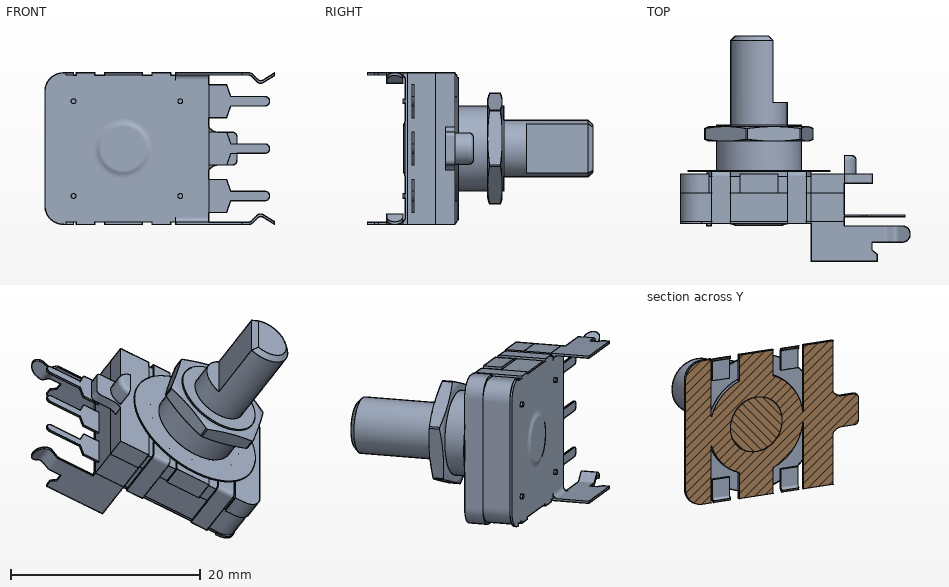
import cadquery as cq
import math


left_x = -8.3
right_x = 9.02
half_height = 8.0
corner_radius = 2.0
sheet = 0.25
inset_half_height = half_height - sheet
raised_end_x = 5.5

parting_y = -2.04
rear_y = -5.02
cover_y = rear_y - sheet

left_end_x = -5.26
pad_half_width = 2.0
recess_y = -0.27
boss_diameter = 11.0
boss_end_y = 0.22
bushing_diameter = 9.0
bushing_end_y = 5.15

lug_half_width = 1.75
lug_end_x = 11.98
lug_thickness = 1.02
lug_corner_radius = 0.5
lug_root_run = 0.97
lug_root_flare = 0.53
post_diameter = 3.5
post_tip_x = 10.25
post_height = 1.95
post_edge_radius = 0.5

pin_diameter = 0.5
pin_length = 0.25
pin_left_x = -5.26
pin_right_x = 6.0
pin_z = 5.0

tab_near_x = 3.0
tab_far_x = 5.0
tab_fold_z = 5.5
tab_bend_radius = 0.25
cover_corner_end_x = -6.05
emboss_outer_diameter = 6.25
emboss_line_diameter = 5.21
emboss_top_diameter = 4.68
emboss_height = 0.2
leg_root_radius = 0.5
leg_end_y = -9.25
leg_end_x = 12.5
leg_notch_x = 11.93
leg_notch_y = -8.05
leg_chamfer_y = -8.49
spring_top_y = -5.48
spring_width = 1.75
spring_bend_x = 13.45
spring_tip_x = left_x + 24.25
spring_fall_angle = 45.0
spring_rise_angle = 32.0
spring_bend_radius = 0.5

shaft_diameter = 6.0
shaft_end_y = 14.55
shaft_chamfer = 0.5
flat_start_y = 7.52
flat_x = 1.5

washer_diameter = 15.0
washer_thickness = 0.15
nut_start_y = 3.45
nut_thickness = 1.53
nut_flats = 10.43
nut_corner_diameter = 11.93
nut_chamfer_height = 0.2
nut_flat_angle = 12.4

terminal_pitch = 5.0
terminal_thickness = 0.2
terminal_y = -4.44
terminal_half_width = 1.75
terminal_shoulder_x = 10.9
terminal_neck_x = 11.32
terminal_prong_radius = 0.5
terminal_tip_x = 15.42


def plane_at(y):
    """Workplane at depth y with local axes X and Z; it extrudes toward -Y."""
    return cq.Workplane("XZ", origin=(0, y, 0))


def block(x_start, x_end, z_half, y_front, y_back):
    """Box centered on Z = 0 between two X and two Y positions."""
    corner = cq.Workplane("XY", origin=(x_start, y_back, 0))
    return corner.box(x_end - x_start, y_front - y_back, 2 * z_half, centered=(False, False, True))


def cylinder(diameter, y_start, y_end):
    """Cylinder about the shaft axis."""
    return plane_at(y_end).circle(diameter / 2).extrude(y_end - y_start)


def make_lug():
    """Flat lug with flared root and rounded corners."""
    root_z = lug_half_width + lug_root_flare
    root_radius = (lug_root_run ** 2 + lug_root_flare ** 2) / (2 * lug_root_flare)
    tangent_x = right_x + lug_root_run
    lug = (
        plane_at(0)
        .moveTo(right_x, -root_z)
        .radiusArc((tangent_x, -lug_half_width), root_radius)
        .lineTo(lug_end_x, -lug_half_width)
        .lineTo(lug_end_x, lug_half_width)
        .lineTo(tangent_x, lug_half_width)
        .radiusArc((right_x, root_z), root_radius)
        .close()
        .extrude(lug_thickness)
    )
    return lug.edges("|Y and >X").fillet(lug_corner_radius)


def make_post():
    """Round post on the lug, cut flat in line with the housing side."""
    post = (
        plane_at(post_height)
        .center(post_tip_x - post_diameter / 2, 0)
        .circle(post_diameter / 2)
        .extrude(post_height)
        .faces(">Y").edges().fillet(post_edge_radius)
    )
    return post.intersect(block(right_x, lug_end_x, post_diameter, post_height, 0))


def make_front_block():
    left_end = block(left_x, left_end_x, half_height, 0, parting_y).edges("|Y and <X").fillet(corner_radius)
    middle = block(left_end_x, raised_end_x, inset_half_height, recess_y, parting_y)
    pad = block(-pad_half_width, pad_half_width, half_height, 0, parting_y)
    right_end = block(raised_end_x, right_x, half_height, 0, parting_y)
    body = left_end.union(middle).union(pad).union(right_end)
    body = body.union(cylinder(boss_diameter, parting_y, boss_end_y))
    body = body.union(cylinder(bushing_diameter, parting_y, bushing_end_y))
    body = body.union(make_lug()).union(make_post())
    return body.cut(cylinder(shaft_diameter, parting_y, bushing_end_y))


def make_pins():
    pin_places = [(x, z) for x in (pin_left_x, pin_right_x) for z in (-pin_z, pin_z)]
    return plane_at(rear_y).pushPoints(pin_places).circle(pin_diameter / 2).extrude(sheet + pin_length)


def make_rear_block():
    body = block(left_x, raised_end_x, inset_half_height, parting_y, rear_y)
    body = body.edges("|Y and <X").fillet(corner_radius)
    return body.union(block(raised_end_x, right_x, half_height, parting_y, rear_y)).union(make_pins())


def make_cover_plate():
    corners = block(left_x, cover_corner_end_x, half_height, rear_y, cover_y)
    corners = corners.edges("|Y and <X").fillet(corner_radius)
    return corners.union(block(cover_corner_end_x, right_x, inset_half_height, rear_y, cover_y))


def make_emboss():
    """Shallow raised disc: a concave foot runs into a convex rim."""
    foot_r = emboss_outer_diameter / 2
    line_r = emboss_line_diameter / 2
    top_r = emboss_top_diameter / 2
    foot_width = foot_r - line_r
    line_height = emboss_height * foot_width / (foot_r - top_r)
    foot_radius = (foot_width ** 2 + line_height ** 2) / (2 * line_height)
    rim_radius = foot_radius * (line_r - top_r) / foot_width
    top_y = cover_y - emboss_height
    return (
        cq.Workplane("XY")
        .moveTo(0, cover_y)
        .lineTo(foot_r, cover_y)
        .radiusArc((line_r, cover_y - line_height), -foot_radius)
        .radiusArc((top_r, top_y), rim_radius)
        .lineTo(0, top_y)
        .close()
        .revolve(360, (0, 0, 0), (0, 1, 0))
    )


def make_tab(x_start):
    """Strip along the housing side, folded over behind the washer, level with the boss."""
    inner_y = boss_end_y - sheet
    bend_start_y = inner_y - tab_bend_radius
    bend_end_z = inset_half_height - tab_bend_radius
    return (
        cq.Workplane("YZ", origin=(x_start, 0, 0))
        .moveTo(cover_y, inset_half_height)
        .lineTo(bend_start_y, inset_half_height)
        .radiusArc((inner_y, bend_end_z), tab_bend_radius)
        .lineTo(inner_y, tab_fold_z)
        .lineTo(boss_end_y, tab_fold_z)
        .lineTo(boss_end_y, bend_end_z)
        .radiusArc((bend_start_y, half_height), -(tab_bend_radius + sheet))
        .lineTo(cover_y, half_height)
        .close()
        .extrude(tab_far_x - tab_near_x)
    )


def make_spring():
    """Finger bent into a shallow V, with a rounded tip."""
    fall = math.radians(spring_fall_angle)
    rise = math.radians(spring_rise_angle)
    span = spring_tip_x - spring_bend_x
    depth = span / (1 / math.tan(fall) + 1 / math.tan(rise))
    valley_x = spring_bend_x + depth / math.tan(fall)
    valley_z = half_height - depth

    def below(x, z, angle_before, angle_after):
        """Corner of the underside, one sheet thickness from the top corner at (x, z)."""
        middle = (angle_before + angle_after) / 2
        reach = sheet / math.cos((angle_before - angle_after) / 2)
        return x + reach * math.sin(middle), z - reach * math.cos(middle)

    bend_under = below(spring_bend_x, half_height, 0, -fall)
    valley_under = below(valley_x, valley_z, -fall, rise)
    tip_under = below(spring_tip_x, half_height, rise, rise)
    strip = (
        plane_at(spring_top_y)
        .polyline([
            (leg_notch_x, half_height), (spring_bend_x, half_height), (valley_x, valley_z),
            (spring_tip_x, half_height), tip_under, valley_under, bend_under,
            (leg_notch_x, inset_half_height),
        ])
        .close()
        .extrude(spring_width)
    )
    middle_y = spring_top_y - spring_width / 2
    bends = [(spring_bend_x, half_height), bend_under, (valley_x, valley_z), valley_under]
    for x, z in bends:
        bend_edge = cq.NearestToPointSelector((x, middle_y, z))
        strip = strip.edges("|Y").edges(bend_edge).fillet(spring_bend_radius)
    tip_radius = spring_width / 2
    plan = (
        cq.Workplane("XY")
        .moveTo(leg_notch_x, spring_top_y)
        .lineTo(spring_tip_x - tip_radius, spring_top_y)
        .threePointArc((spring_tip_x, middle_y), (spring_tip_x - tip_radius, spring_top_y - spring_width))
        .lineTo(leg_notch_x, spring_top_y - spring_width)
        .close()
        .extrude(half_height)
    )
    return strip.intersect(plan)


def make_leg():
    """Upper mounting leg with its bend into the cover plate and its spring finger."""
    blade = (
        cq.Workplane("XY", origin=(0, 0, inset_half_height))
        .polyline([
            (raised_end_x, rear_y), (right_x, rear_y), (right_x, spring_top_y), (leg_notch_x, spring_top_y),
            (leg_notch_x, leg_notch_y), (leg_end_x, leg_chamfer_y), (leg_end_x, leg_end_y),
            (raised_end_x, leg_end_y),
        ])
        .close()
        .extrude(sheet)
    )
    bend = (
        cq.Workplane("YZ", origin=(raised_end_x, 0, 0))
        .moveTo(cover_y, inset_half_height)
        .lineTo(cover_y, inset_half_height - leg_root_radius)
        .radiusArc((cover_y - leg_root_radius, inset_half_height), -leg_root_radius)
        .close()
        .extrude(right_x - raised_end_x)
    )
    return blade.union(bend).union(make_spring())


def make_cover():
    upper_parts = make_tab(tab_near_x).union(make_tab(-tab_far_x)).union(make_leg())
    body = make_cover_plate().union(make_emboss())
    body = body.union(upper_parts).union(upper_parts.mirror("XY"))
    return body.cut(make_pins())


def make_shaft():
    body = cylinder(shaft_diameter, parting_y, shaft_end_y)
    body = body.cut(block(flat_x, shaft_diameter, shaft_diameter, shaft_end_y, flat_start_y))
    return body.faces(">Y").chamfer(shaft_chamfer)


def make_washer():
    end_y = boss_end_y + washer_thickness
    return cylinder(washer_diameter, boss_end_y, end_y).cut(cylinder(bushing_diameter, boss_end_y, end_y))


def make_nut():
    """Hexagon nut with trimmed corners and conical chamfers on both faces."""
    end_y = nut_start_y + nut_thickness
    hexagon = (
        plane_at(end_y)
        .polygon(6, nut_flats, circumscribed=True)
        .extrude(nut_thickness)
        .rotate((0, 0, 0), (0, 1, 0), -nut_flat_angle)
    )
    chamfer_width = (nut_corner_diameter - nut_flats) / 2
    envelope = cylinder(nut_corner_diameter, nut_start_y, end_y)
    envelope = envelope.edges(">Y or <Y").chamfer(nut_chamfer_height, chamfer_width)
    return hexagon.intersect(envelope).cut(cylinder(bushing_diameter, nut_start_y, end_y))


def make_terminal(z):
    """Flat solder terminal with a wide root and a round-tipped prong."""
    round_x = terminal_tip_x - terminal_prong_radius
    return (
        plane_at(terminal_y + terminal_thickness / 2)
        .center(0, z)
        .moveTo(right_x, -terminal_half_width)
        .lineTo(terminal_shoulder_x, -terminal_half_width)
        .lineTo(terminal_neck_x, -terminal_prong_radius)
        .lineTo(round_x, -terminal_prong_radius)
        .threePointArc((terminal_tip_x, 0), (round_x, terminal_prong_radius))
        .lineTo(terminal_neck_x, terminal_prong_radius)
        .lineTo(terminal_shoulder_x, terminal_half_width)
        .lineTo(right_x, terminal_half_width)
        .close()
        .extrude(terminal_thickness)
    )


front_block = make_front_block()
rear_block = make_rear_block()
cover = make_cover()
shaft = make_shaft()
washer = make_washer()
nut = make_nut()
terminals = [make_terminal(step * terminal_pitch) for step in (-1, 0, 1)]

result = cq.Compound.makeCompound([
    front_block.val(),
    rear_block.val(),
    cover.val(),
    shaft.val(),
    washer.val(),
    nut.val(),
    *[terminal.val() for terminal in terminals],
])